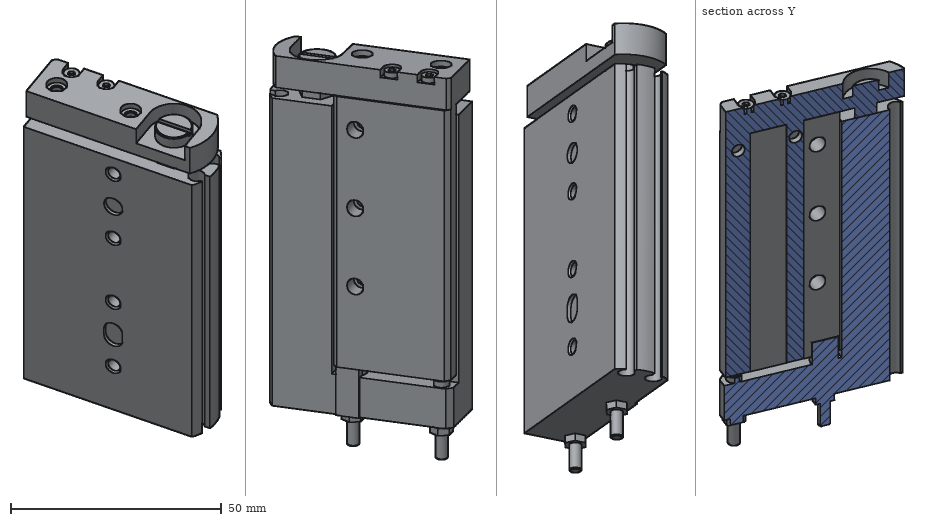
import cadquery as cq
import math


total_length = 98.0
plate_height = 8.0
plate_bottom = total_length - plate_height
housing_bottom = 8.5
housing_top = 87.1
block_top = 18.7
table_bottom = 20.9

housing_width = 48.0
housing_corner_x = 45.5
housing_depth = 14.4
channel_width = 30.4
channel_floor_y = 9.4
block_chamfer = 1.5
groove_width = 2.45
groove_bore_x = 44.8
groove_bore_diameter = 4.0
groove_offset = 3.6
pad_width = 5.9

mount_x = 24.2
mount_top_z = 82.0
mount_pitch = 20.0
mount_count = 4
mount_diameter = 3.2
mount_mouth_diameter = 4.1
locating_diameter = 5.0
locating_depth = 1.0
locating_hole_z = 71.9
locating_slot_z = 31.9
locating_slot_length = 7.0

stop_bolt_places = [(3.3, 12.1), (26.2, 11.0)]
stop_bolt_diameter = 3.0
stop_bolt_chamfer = 0.3
stop_nut_flats = 4.9
stop_nut_height = 1.9
bumper_diameter = 3.8
bumper_height = 1.5
buffer_diameter = 7.0
buffer_top = 25.0

table_left = 0.4
table_right = 30.1
table_front = 10.0
table_back = 15.0
table_chamfer = 1.2
relief_width = 9.3
relief_depth = 0.3
relief_left_edges = [6.9, 20.7]
guide_hole_x = [3.7, 18.5]
guide_hole_z = 85.8
guide_hole_diameter = 3.2
guide_hole_depth = 2.0
stop_tip_y = 12.3
stop_tip_diameter = 3.2

plate_front = 0.6
plate_back = 14.4
plate_corner_x = 44.6
plate_right = 47.0
plate_chamfer = 0.9
cap_hole_places = [(5.7, 6.1), (25.7, 6.1)]
cap_bore_diameter = 5.0
cap_bore_depth = 1.5
cap_socket_mouth = 3.0
cap_socket_diameter = 2.45
cap_socket_depth = 1.5
notch_x = [6.5, 15.9]
notch_y = 12.1
notch_diameter = 4.3
notch_depth = 2.0
set_screw_diameter = 3.8
set_screw_height = 1.4
set_screw_socket = 1.6
set_screw_socket_depth = 0.8

rod_x = 36.7
rod_y = 7.35
rod_pocket_width = 13.1
rod_pocket_depth = 4.4
rod_head_diameter = 9.0
rod_head_height = 3.0
rod_head_chamfer = 0.3
rod_slot_width = 1.2
rod_slot_depth = 1.0
rod_hex_flats = 8.0
rod_hex_chamfer = 0.3


def box(x_range, y_range, z_range):
    """Block between two limits on each axis."""
    lows, highs = zip(x_range, y_range, z_range)
    sizes = [high - low for low, high in zip(lows, highs)]
    return cq.Workplane("XY").box(*sizes, centered=False).translate(lows)


def upright_cylinder(x, y, z, diameter, height):
    """Cylinder along Z that stands on level z."""
    return cq.Workplane("XY", origin=(x, y, z)).circle(diameter / 2).extrude(height)


def hexagon_corners(across_flats):
    """Width of a regular hexagon across its corners."""
    return across_flats / math.cos(math.pi / 6)


def upright_hexagon(x, y, z, across_flats, height, turn):
    """Hexagonal prism along Z; with no turn its corners point along X."""
    prism = cq.Workplane("XY").polygon(6, hexagon_corners(across_flats)).extrude(height)
    return prism.rotate((0, 0, 0), (0, 0, 1), turn).translate((x, y, z))


def bore_from_front(x, z, diameter, front_y, depth):
    """Cylinder along +Y that starts on the plane at front_y."""
    plane = cq.Plane(origin=(x, front_y, z), xDir=(1, 0, 0), normal=(0, 1, 0))
    return cq.Workplane(plane).circle(diameter / 2).extrude(depth)


def mount_levels():
    return [mount_top_z - i * mount_pitch for i in range(mount_count)]




def housing_block():
    """Extruded section with a bulged right side and a chamfered left back edge."""
    section = (
        cq.Workplane("XY", origin=(0, 0, housing_bottom))
        .moveTo(0, 0)
        .lineTo(housing_corner_x, 0)
        .threePointArc((housing_width, housing_depth / 2), (housing_corner_x, housing_depth))
        .lineTo(block_chamfer, housing_depth)
        .lineTo(0, housing_depth - block_chamfer)
        .close()
    )
    return section.extrude(housing_top - housing_bottom)


def sensor_groove(center_y):
    """Round bore along the housing that opens to the right through a narrower slot."""
    height = housing_top - housing_bottom
    bore = upright_cylinder(groove_bore_x, center_y, housing_bottom, groove_bore_diameter, height)
    opening = box(
        (groove_bore_x, housing_width),
        (center_y - groove_width / 2, center_y + groove_width / 2),
        (housing_bottom, housing_top),
    )
    return bore.union(opening)


def stop_bolt(x, y):
    """Bolt with its lock nut below the housing."""
    bolt = upright_cylinder(x, y, 0, stop_bolt_diameter, housing_bottom)
    bolt = bolt.faces("<Z").chamfer(stop_bolt_chamfer)
    nut_z = housing_bottom - stop_nut_height
    return bolt.union(upright_hexagon(x, y, nut_z, stop_nut_flats, stop_nut_height, 30))


def stop_buffer():
    """Upright cylinder on the end block, in line with the second stop bolt."""
    x, y = stop_bolt_places[1]
    return upright_cylinder(x, y, block_top, buffer_diameter, buffer_top - block_top)


def mount_hole(z):
    """Hole through the housing with a countersunk mouth on the front face."""
    hole = bore_from_front(mount_x, z, mount_diameter, 0, channel_floor_y)
    radius = mount_diameter / 2
    mouth_radius = mount_mouth_diameter / 2
    sink = mouth_radius - radius
    front = cq.Vector(mount_x, 0, z)
    mouth = cq.Solid.makeCone(mouth_radius, radius, sink, front, cq.Vector(0, 1, 0))
    return hole.union(cq.Workplane(mouth))


def locating_slot():
    plane = cq.Plane(origin=(mount_x, 0, locating_slot_z), xDir=(1, 0, 0), normal=(0, 1, 0))
    return cq.Workplane(plane).slot2D(locating_slot_length, locating_diameter, 90).extrude(locating_depth)


def make_housing():
    housing = housing_block()
    housing = housing.cut(
        box((0, channel_width), (channel_floor_y, table_back), (block_top, housing_top))
    )
    for side in (-1, 1):
        housing = housing.cut(sensor_groove(housing_depth / 2 + side * groove_offset))

    pad_center_x = stop_bolt_places[1][0]
    housing = housing.union(
        box(
            (pad_center_x - pad_width / 2, pad_center_x + pad_width / 2),
            (channel_floor_y, table_back),
            (housing_bottom, table_bottom),
        )
    )
    for x, y in stop_bolt_places:
        housing = housing.union(stop_bolt(x, y))
    bumper_x, bumper_y = stop_bolt_places[0]
    housing = housing.union(upright_cylinder(bumper_x, bumper_y, block_top, bumper_diameter, bumper_height))

    for z in mount_levels():
        housing = housing.cut(mount_hole(z))
    housing = housing.cut(bore_from_front(mount_x, locating_hole_z, locating_diameter, 0, locating_depth))
    housing = housing.cut(locating_slot())
    return housing.union(stop_buffer())




def table_slab():
    """Slab in the channel with both back edges chamfered."""
    slab = box((table_left, table_right), (table_front, table_back), (table_bottom, plate_bottom))
    slab = slab.faces(">Y").edges("|Z").chamfer(table_chamfer)
    for left_edge in relief_left_edges:
        slab = slab.cut(
            box(
                (left_edge, left_edge + relief_width),
                (table_front, table_front + relief_depth),
                (table_bottom, plate_bottom),
            )
        )
    for x in guide_hole_x:
        slab = slab.cut(bore_from_front(x, guide_hole_z, guide_hole_diameter, table_front, guide_hole_depth))
    slab = slab.cut(stop_buffer())
    thickness = table_back - table_front
    for z in mount_levels()[:-1]:
        slab = slab.cut(bore_from_front(mount_x, z, mount_mouth_diameter, table_front, thickness))
    return slab


def stop_tip():
    """Short tip under the slab that meets the bumper."""
    tip_x = stop_bolt_places[0][0]
    bumper_top = block_top + bumper_height
    return upright_cylinder(tip_x, stop_tip_y, bumper_top, stop_tip_diameter, table_bottom - bumper_top)


def plate_block():
    middle_y = (plate_front + plate_back) / 2
    section = (
        cq.Workplane("XY", origin=(0, 0, plate_bottom))
        .moveTo(table_left, plate_front)
        .lineTo(plate_corner_x, plate_front)
        .threePointArc((plate_right, middle_y), (plate_corner_x, plate_back))
        .lineTo(table_left + plate_chamfer, plate_back)
        .lineTo(table_left, plate_back - plate_chamfer)
        .close()
    )
    return section.extrude(plate_height)


def cap_hole(x, y):
    """Counterbore with the socket of the screw at its floor."""
    floor_z = total_length - cap_bore_depth
    rim = (cap_socket_mouth - cap_socket_diameter) / 2
    bore = upright_cylinder(x, y, floor_z, cap_bore_diameter, cap_bore_depth)
    mouth = upright_cylinder(x, y, floor_z - rim, cap_socket_mouth, rim)
    socket = upright_cylinder(x, y, floor_z - cap_socket_depth, cap_socket_diameter, cap_socket_depth)
    return bore.union(mouth).union(socket)


def screw_notch(x):
    """U-shaped notch that opens to the back of the plate."""
    floor_z = total_length - notch_depth
    radius = notch_diameter / 2
    notch = upright_cylinder(x, notch_y, floor_z, notch_diameter, notch_depth)
    return notch.union(box((x - radius, x + radius), (notch_y, plate_back), (floor_z, total_length)))


def set_screw(x):
    floor_z = total_length - notch_depth
    screw = upright_cylinder(x, notch_y, floor_z, set_screw_diameter, set_screw_height)
    socket_z = floor_z + set_screw_height - set_screw_socket_depth
    return screw.cut(upright_hexagon(x, notch_y, socket_z, set_screw_socket, set_screw_socket_depth, 30))


def rod_pocket():
    """Round-ended pocket around the rod screw, open to the front of the plate."""
    floor_z = total_length - rod_pocket_depth
    radius = rod_pocket_width / 2
    pocket = upright_cylinder(rod_x, rod_y, floor_z, rod_pocket_width, rod_pocket_depth)
    return pocket.union(
        box((rod_x - radius, rod_x + radius), (plate_front, rod_y), (floor_z, total_length))
    )


def rod_head():
    """Slotted cylindrical head."""
    floor_z = total_length - rod_pocket_depth
    head_top = floor_z + rod_head_height
    head = upright_cylinder(rod_x, rod_y, floor_z, rod_head_diameter, rod_head_height)
    head = head.faces(">Z").chamfer(rod_head_chamfer)
    return head.cut(
        box(
            (rod_x - rod_head_diameter, rod_x + rod_head_diameter),
            (rod_y - rod_slot_width / 2, rod_y + rod_slot_width / 2),
            (head_top - rod_slot_depth, head_top),
        )
    )


def rod_collar():
    """Hex collar between the end plate and the housing, turned round at its top."""
    height = plate_bottom - housing_top
    collar = upright_hexagon(rod_x, rod_y, housing_top, rod_hex_flats, height, 0)
    turned = upright_cylinder(rod_x, rod_y, housing_top, hexagon_corners(rod_hex_flats), height)
    return collar.intersect(turned.faces(">Z").chamfer(rod_hex_chamfer))


def make_table():
    plate = plate_block().cut(rod_pocket())
    for x, y in cap_hole_places:
        plate = plate.cut(cap_hole(x, y))
    for x in notch_x:
        plate = plate.cut(screw_notch(x)).union(set_screw(x))
    table = table_slab().union(stop_tip()).union(plate)
    return table.union(rod_head()).union(rod_collar())


housing = make_housing()
table = make_table()

result = cq.Compound.makeCompound([housing.val(), table.val()])